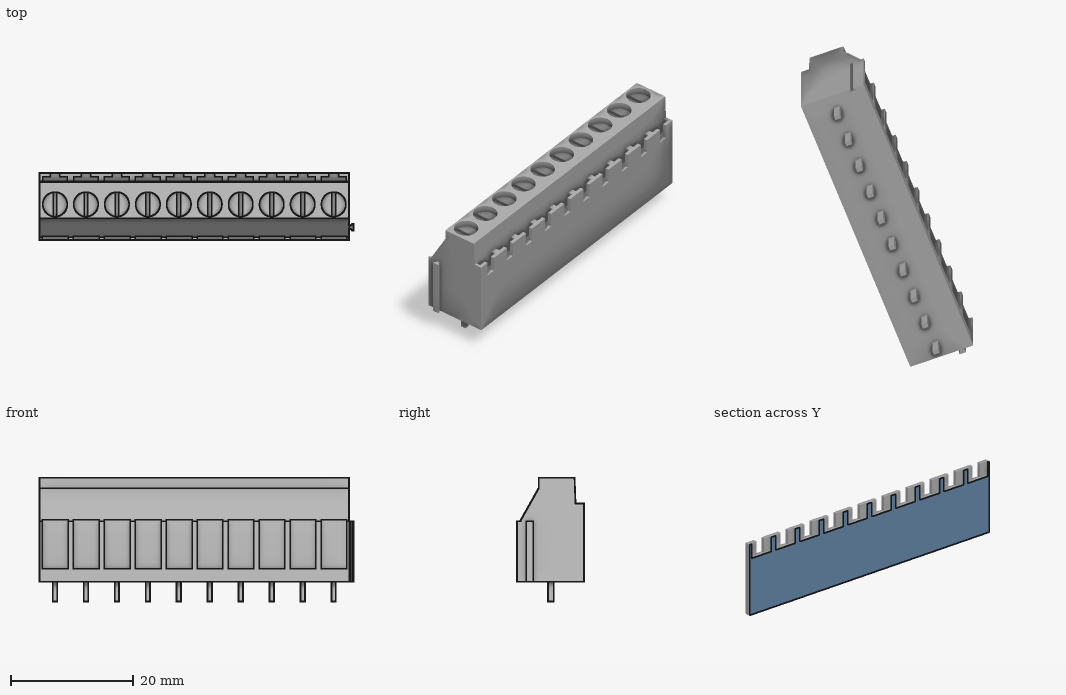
import cadquery as cq


pole_count = 10
housing_length = 50.75
pitch = housing_length / pole_count
housing_depth = 11.0
housing_height = 17.1
front_ledge_height = 9.95
front_ledge_depth = 0.5
nose_height = 15.35
nose_setback = 3.55
shelf_height = 12.85
shelf_depth = 1.4
back_wall_draft = 0.15

recess_width = 4.2
recess_offset = 0.05
recess_depth = 0.65
recess_floor = 2.15

screw_diameter = 4.0
screw_setback = 5.85
screw_sink = 1.2
driver_slot_width = 0.6
driver_slot_depth = 0.75

pocket_depth = 2.55
pocket_mouth_width = 1.6
pocket_mouth_length = 0.6
pocket_head_width = 4.05

pin_width = 0.75
pin_thickness = 1.0
pin_length = 3.25
pin_setback = 5.55

joint_setback = 2.1
joint_neck_width = 0.5
joint_head_width = 1.15
joint_neck_length = 0.2
joint_flare_end = 0.5
joint_length = 0.7

pole_centers = [(index + 0.5) * pitch for index in range(pole_count)]


def centered_box(center_x, width, y_start, y_end, z_start, z_end):
    """Box centred on center_x, spanning the given Y and Z ranges."""
    box = cq.Workplane("XY").box(width, y_end - y_start, z_end - z_start, centered=(True, False, False))
    return box.translate((center_x, y_start, z_start))


def housing():
    back_wall = housing_depth - shelf_depth
    side_outline = [
        (0, 0),
        (housing_depth, 0),
        (housing_depth, shelf_height),
        (back_wall, shelf_height),
        (back_wall - back_wall_draft, housing_height),
        (nose_setback, housing_height),
        (nose_setback, nose_height),
        (front_ledge_depth, front_ledge_height),
        (0, front_ledge_height),
    ]
    return cq.Workplane("YZ").polyline(side_outline).close().extrude(housing_length)


def front_recess(center_x):
    return centered_box(center_x, recess_width, 0, recess_depth, recess_floor, nose_height)


def screw_sinking(center_x):
    """Round hole down to the screw head, with the driver slot below it."""
    head_level = housing_height - screw_sink
    hole = cq.Workplane("XY").circle(screw_diameter / 2).extrude(screw_sink)
    slot_bar = cq.Workplane("XY").rect(driver_slot_width, screw_diameter).extrude(-driver_slot_depth)
    screw_head = cq.Workplane("XY").circle(screw_diameter / 2).extrude(-driver_slot_depth)
    sinking = hole.union(slot_bar.intersect(screw_head))
    return sinking.translate((center_x, screw_setback, head_level))


def back_pocket(center_x):
    floor = shelf_height - pocket_depth
    head_end = housing_depth - pocket_mouth_length
    head_start = housing_depth - shelf_depth
    mouth = centered_box(center_x, pocket_mouth_width, head_end, housing_depth, floor, shelf_height)
    head = centered_box(center_x, pocket_head_width, head_start, head_end, floor, shelf_height)
    return mouth.union(head)


def pin(center_x):
    y_start = pin_setback - pin_thickness / 2
    return centered_box(center_x, pin_width, y_start, y_start + pin_thickness, -pin_length, 0)


def dovetail():
    """Dovetail bar growing from its neck along +X, as tall as the front ledge."""
    neck = joint_neck_width / 2
    head = joint_head_width / 2
    outline = [
        (0, -neck),
        (joint_neck_length, -neck),
        (joint_flare_end, -head),
        (joint_length, -head),
        (joint_length, head),
        (joint_flare_end, head),
        (joint_neck_length, neck),
        (0, neck),
    ]
    bar = cq.Workplane("XY").polyline(outline).close().extrude(front_ledge_height)
    return bar.translate((0, joint_setback, 0))


result = housing().cut(dovetail()).union(dovetail().translate((housing_length, 0, 0)))
for pole_x in pole_centers:
    result = result.cut(front_recess(pole_x + recess_offset))
    result = result.cut(screw_sinking(pole_x))
    result = result.cut(back_pocket(pole_x))
    result = result.union(pin(pole_x))